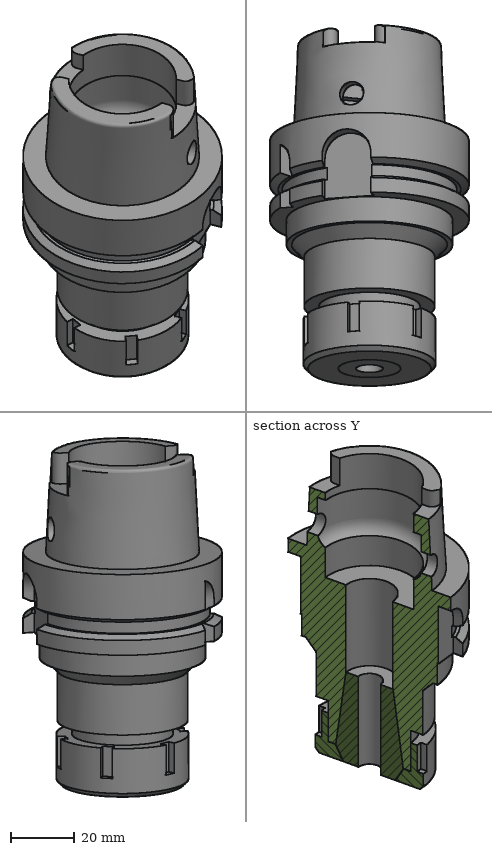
import cadquery as cq
import math


SHANK_TOP = 107.0
SHANK_ROOT_RADIUS = 24.3
SHANK_TIP_RADIUS = 22.7
RIM_FILLET = 1.1
SHANK_BORE_RADIUS = 17.0
LIP_DEPTH = 13.0
CAVITY_RADIUS = 20.0
CAVITY_BOTTOM = 81.3
CAVITY_ARC_RADIUS = 5.0
BORE_FLOOR = 65.7
DRIVE_SLOT_WIDTH = 12.4
DRIVE_SLOT_ROUND = 2.7
LEFT_DRIVE_FLOOR = 101.0
RIGHT_DRIVE_FLOOR = 96.9
CROSS_HOLE_RADIUS = 3.9
CROSS_HOLE_Z = 84.0

FLANGE_DIAMETER = 63.0
FLANGE_RADIUS = FLANGE_DIAMETER / 2
FLANGE_TOP = 75.1
FLANGE_BOTTOM = 48.9
GROOVE_RADIUS = 27.7
GROOVE_LIP_RADIUS = 28.9
GROOVE_TOP = 59.1
GROOVE_BOTTOM = 55.1
GROOVE_BEVEL = 1.4

KEYWAY_RADIUS = 7.9
KEYWAY_FLOOR = 26.8
KEYWAY_TOP = 70.0
NOTCH_FLOOR = 20.2
NOTCH_Y = 27.9
NOTCH_TOP = 70.7

COLLAR_RADIUS = 26.3
COLLAR_BOTTOM = 40.9
CONE_TOP_RADIUS = 24.6
CONE_BOTTOM = 36.8
BODY_DIAMETER = 41.4
BODY_RADIUS = BODY_DIAMETER / 2
BODY_BOTTOM = 20.4
NECK_RADIUS = 16.0

NUT_RADIUS = 21.0
NUT_HEIGHT = 16.0
NUT_CHAMFER = 1.5
NUT_SLOT_COUNT = 6
NUT_SLOT_WIDTH = 3.7
NUT_SLOT_FLOOR_RADIUS = 18.5
NUT_SLOT_BOTTOM = 6.3

COLLET_TOP_RADIUS = 9.0
COLLET_BORE_RADIUS = 4.3
COLLET_MAX_RADIUS = 13.0
COLLET_TAPER = 8.0
COLLET_FRONT_ANGLE = 30.0
COLLET_MAX_Z = 5.4
COLLET_TAPER_HEIGHT = (COLLET_MAX_RADIUS - COLLET_TOP_RADIUS) / math.tan(math.radians(COLLET_TAPER))
COLLET_TOP = COLLET_MAX_Z + COLLET_TAPER_HEIGHT
COLLET_FRONT_RADIUS = COLLET_MAX_RADIUS - COLLET_MAX_Z * math.tan(math.radians(COLLET_FRONT_ANGLE))

NOSE_BOTTOM = COLLET_MAX_Z


def revolve_profile(points):
    """Turn a closed (radius, z) outline about the Z axis."""
    return cq.Workplane("XZ").polyline(points).close().revolve(360, (0, 0, 0), (0, 1, 0))


def holder_blank():
    """Outside of the holder, with its rounded shank rim."""
    blank = revolve_profile([
        (0, SHANK_TOP),
        (SHANK_TIP_RADIUS, SHANK_TOP),
        (SHANK_ROOT_RADIUS, FLANGE_TOP),
        (FLANGE_RADIUS, FLANGE_TOP),
        (FLANGE_RADIUS, GROOVE_TOP + GROOVE_BEVEL),
        (GROOVE_LIP_RADIUS, GROOVE_TOP),
        (GROOVE_RADIUS, GROOVE_TOP),
        (GROOVE_RADIUS, GROOVE_BOTTOM),
        (GROOVE_LIP_RADIUS, GROOVE_BOTTOM),
        (FLANGE_RADIUS, GROOVE_BOTTOM - GROOVE_BEVEL),
        (FLANGE_RADIUS, FLANGE_BOTTOM),
        (COLLAR_RADIUS, FLANGE_BOTTOM),
        (COLLAR_RADIUS, COLLAR_BOTTOM),
        (CONE_TOP_RADIUS, COLLAR_BOTTOM),
        (BODY_RADIUS, CONE_BOTTOM),
        (BODY_RADIUS, BODY_BOTTOM),
        (NECK_RADIUS, BODY_BOTTOM),
        (NECK_RADIUS, NOSE_BOTTOM),
        (0, NOSE_BOTTOM),
    ])
    return blank.faces(">Z").edges().fillet(RIM_FILLET)


def holder_cavity():
    """Stepped shank bore, and the passage that widens into the collet seat."""
    lip_bottom = SHANK_TOP - LIP_DEPTH
    arc_center_radius = CAVITY_RADIUS - CAVITY_ARC_RADIUS
    arc_angle = math.acos((SHANK_BORE_RADIUS - arc_center_radius) / CAVITY_ARC_RADIUS)
    arc_end_z = CAVITY_BOTTOM - CAVITY_ARC_RADIUS * math.sin(arc_angle)
    arc_middle = (
        arc_center_radius + CAVITY_ARC_RADIUS * math.cos(arc_angle / 2),
        CAVITY_BOTTOM - CAVITY_ARC_RADIUS * math.sin(arc_angle / 2),
    )
    return (
        cq.Workplane("XZ")
        .moveTo(0, SHANK_TOP)
        .lineTo(SHANK_BORE_RADIUS, SHANK_TOP)
        .lineTo(SHANK_BORE_RADIUS, lip_bottom)
        .lineTo(CAVITY_RADIUS, lip_bottom)
        .lineTo(CAVITY_RADIUS, CAVITY_BOTTOM)
        .threePointArc(arc_middle, (SHANK_BORE_RADIUS, arc_end_z))
        .lineTo(SHANK_BORE_RADIUS, BORE_FLOOR)
        .lineTo(COLLET_TOP_RADIUS, BORE_FLOOR)
        .lineTo(COLLET_TOP_RADIUS, COLLET_TOP)
        .lineTo(COLLET_MAX_RADIUS, COLLET_MAX_Z)
        .lineTo(0, COLLET_MAX_Z)
        .close()
        .revolve(360, (0, 0, 0), (0, 1, 0))
    )


def drive_slot(side, floor_z):
    """Slot through one side of the shank rim, with the rim's outer corners rounded beside it."""
    half = DRIVE_SLOT_WIDTH / 2
    center_y = half + DRIVE_SLOT_ROUND
    center_distance = SHANK_TIP_RADIUS - DRIVE_SLOT_ROUND
    center_x = math.sqrt(center_distance**2 - center_y**2)
    end_x = center_x * SHANK_TIP_RADIUS / center_distance
    end_y = center_y * SHANK_TIP_RADIUS / center_distance
    slot = (
        cq.Workplane("XY", origin=(0, 0, floor_z))
        .moveTo(0, -half)
        .lineTo(center_x, -half)
        .radiusArc((end_x, -end_y), DRIVE_SLOT_ROUND)
        .lineTo(FLANGE_RADIUS, -end_y)
        .lineTo(FLANGE_RADIUS, end_y)
        .lineTo(end_x, end_y)
        .radiusArc((center_x, half), DRIVE_SLOT_ROUND)
        .lineTo(0, half)
        .close()
        .extrude(SHANK_TOP - floor_z)
    )
    return slot if side > 0 else slot.mirror("YZ")


def flange_slot(side, floor_x, center_y, top_z):
    """Round-topped slot cut along X into the flange and open at the flange's lower face."""
    center_z = top_z - KEYWAY_RADIUS
    slot = (
        cq.Workplane("YZ", origin=(floor_x, 0, 0))
        .moveTo(center_y - KEYWAY_RADIUS, FLANGE_BOTTOM)
        .lineTo(center_y - KEYWAY_RADIUS, center_z)
        .threePointArc((center_y, top_z), (center_y + KEYWAY_RADIUS, center_z))
        .lineTo(center_y + KEYWAY_RADIUS, FLANGE_BOTTOM)
        .close()
        .extrude(FLANGE_RADIUS)
    )
    return slot if side > 0 else slot.mirror("YZ")


def cross_hole():
    """Hole along X through both walls of the shank."""
    return (
        cq.Workplane("YZ", origin=(0, 0, CROSS_HOLE_Z))
        .circle(CROSS_HOLE_RADIUS)
        .extrude(FLANGE_RADIUS, both=True)
    )


def make_holder():
    """Holder with its bore, drive slots, cross hole, two opposite keyways and off-center notch."""
    holder = holder_blank().cut(holder_cavity())
    holder = holder.cut(drive_slot(-1, LEFT_DRIVE_FLOOR))
    holder = holder.cut(drive_slot(1, RIGHT_DRIVE_FLOOR))
    holder = holder.cut(cross_hole())
    for side in (-1, 1):
        holder = holder.cut(flange_slot(side, KEYWAY_FLOOR, 0, KEYWAY_TOP))
    return holder.cut(flange_slot(-1, NOTCH_FLOOR, NOTCH_Y, NOTCH_TOP))


def make_nut():
    """Nut that surrounds the holder's nose and carries the front cone of the collet."""
    nut = revolve_profile([
        (COLLET_FRONT_RADIUS, 0),
        (NUT_RADIUS - NUT_CHAMFER, 0),
        (NUT_RADIUS, NUT_CHAMFER),
        (NUT_RADIUS, NUT_HEIGHT),
        (NECK_RADIUS, NUT_HEIGHT),
        (NECK_RADIUS, NOSE_BOTTOM),
        (COLLET_MAX_RADIUS, COLLET_MAX_Z),
    ])
    slot = cq.Workplane("XY").box(
        NUT_RADIUS,
        NUT_SLOT_WIDTH,
        NUT_HEIGHT - NUT_SLOT_BOTTOM,
        centered=(False, True, False),
    ).translate((NUT_SLOT_FLOOR_RADIUS, 0, NUT_SLOT_BOTTOM))
    for index in range(NUT_SLOT_COUNT):
        angle = index * 360 / NUT_SLOT_COUNT
        nut = nut.cut(slot.rotate((0, 0, 0), (0, 0, 1), angle))
    return nut


def make_collet():
    """Double-cone collet with a plain through bore."""
    return revolve_profile([
        (COLLET_BORE_RADIUS, 0),
        (COLLET_FRONT_RADIUS, 0),
        (COLLET_MAX_RADIUS, COLLET_MAX_Z),
        (COLLET_TOP_RADIUS, COLLET_TOP),
        (COLLET_BORE_RADIUS, COLLET_TOP),
    ])


holder = make_holder()
nut = make_nut()
collet = make_collet()

result = cq.Compound.makeCompound([*holder.solids().vals(), *nut.solids().vals(), collet.val()])